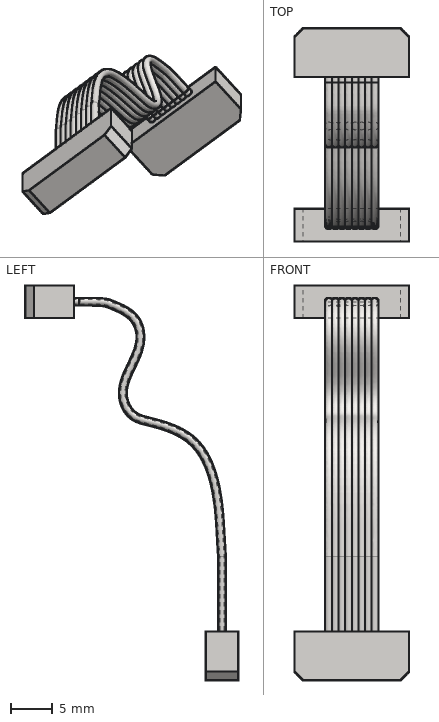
import cadquery as cq
import math

housing_width = 14.0
housing_thickness = 4.0
housing_length = 5.95
chamfer = 1.05

total_depth = 26.0
total_height = 48.15

wire_count = 8
wire_radius = 0.5
wire_span = 5.6
wire_pitch = wire_span / (wire_count - 1)

lower_cable_y = housing_thickness / 2
upper_cable_z = total_height - housing_thickness / 2
upper_housing_y = total_depth - housing_length
lower_straight = 9.1
upper_straight = 0.65
bend_start = (lower_cable_y, housing_length + lower_straight)
bend_end = (upper_housing_y - upper_straight, upper_cable_z)
bend_points = [
    bend_start,
    (2.65, 22.77),
    (5.4, 29.0),
    (10.7, 31.5),
    (12.85, 32.3),
    (14.05, 34.55),
    (12.9, 38.6),
    (11.95, 41.95),
    (12.85, 44.3),
    (15.3, 45.75),
    bend_end,
]
bend_start_direction = (0.08, 1.0)
bend_end_direction = (1.0, 0.0)


def housing():
    """Upright housing, cable face on top and the two lower corners chamfered."""
    return (
        cq.Workplane("XY")
        .box(housing_width, housing_thickness, housing_length, centered=(True, False, False))
        .edges("|Y and <Z")
        .chamfer(chamfer)
    )


def ribbon_section(plane):
    """Scalloped outline of the overlapping wires: one arc per wire and side."""
    valley = math.sqrt(wire_radius**2 - (wire_pitch / 2) ** 2)
    half_span = wire_span / 2
    centres = [i * wire_pitch - half_span for i in range(wire_count)]
    first, last = centres[0], centres[-1]

    section = cq.Workplane(plane).moveTo(first + wire_pitch / 2, valley)
    for x in centres[1:-1]:
        section = section.threePointArc((x, wire_radius), (x + wire_pitch / 2, valley))
    section = section.threePointArc((last + wire_radius, 0), (last - wire_pitch / 2, -valley))
    for x in reversed(centres[1:-1]):
        section = section.threePointArc((x, -wire_radius), (x - wire_pitch / 2, -valley))
    section = section.threePointArc((first - wire_radius, 0), (first + wire_pitch / 2, valley))
    return section.close()


lower_plane = cq.Plane(origin=(0, lower_cable_y, housing_length), xDir=(1, 0, 0), normal=(0, 0, 1))
upper_plane = cq.Plane(origin=(0, upper_housing_y, upper_cable_z), xDir=(1, 0, 0), normal=(0, -1, 0))
bend_plane = cq.Plane(origin=(0, *bend_start), xDir=(1, 0, 0), normal=(0, 0, 1))

lower_run = ribbon_section(lower_plane).extrude(lower_straight)
upper_run = ribbon_section(upper_plane).extrude(upper_straight)
bend_path = cq.Workplane("YZ").spline(bend_points, tangents=[bend_start_direction, bend_end_direction])
bend = ribbon_section(bend_plane).sweep(bend_path)

lower_housing = housing()
upper_housing = (
    housing()
    .rotate((0, 0, 0), (1, 0, 0), 90)
    .translate((0, total_depth, total_height - housing_thickness))
)

result = lower_housing.union(lower_run).union(bend).union(upper_run).union(upper_housing)